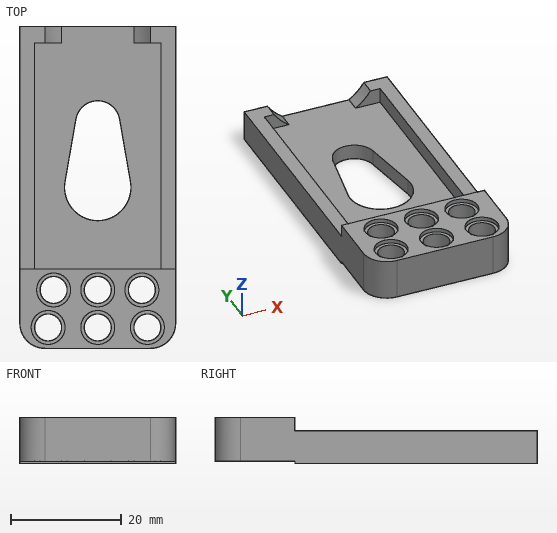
import cadquery as cq

width = 28.3
length = 58.4
height = 8.39

block_length = 14.45
block_height = 8.0
block_bottom = height - block_height
corner_radius = 4.6

tray_height = 6.0
floor_thickness = 3.0
pocket_depth = tray_height - floor_thickness
pocket_width = 22.9

lip_length = 3.0
lip_top_gap = 19.1
lip_floor_gap = 13.2
lip_face_sagitta = 0.2

keyhole_large_radius = 6.0
keyhole_small_radius = 4.0
keyhole_large_y = 29.2
keyhole_small_y = 40.9

hole_diameter = 4.85
counterbore_diameter = 6.15
counterbore_depth = 0.77
holes_per_row = 3
hole_rows = [(3.82, 9.0), (10.62, 8.0)]


def box(size_x, y_start, y_end, z_start, z_end):
    """Box centred on X = 0 between the given Y and Z limits."""
    size_y = y_end - y_start
    return (
        cq.Workplane("XY")
        .box(size_x, size_y, z_end - z_start, centered=(True, False, False))
        .translate((0, y_start, z_start))
    )


def make_block():
    block = box(width, 0, block_length, block_bottom, height)
    return block.edges("|Z and <Y").fillet(corner_radius)


def make_tray():
    tray = box(width, block_length, length, 0, tray_height)
    pocket = box(pocket_width, block_length, length, floor_thickness, tray_height)
    return tray.cut(pocket)


def make_lip():
    """Lip on the +X side, its profile swept forward from the rear face."""
    wall_x = pocket_width / 2
    top_x = lip_top_gap / 2
    toe_x = lip_floor_gap / 2
    run = top_x - toe_x
    slope_length = (run**2 + pocket_depth**2) ** 0.5
    face_mid_x = (top_x + toe_x) / 2 + lip_face_sagitta * pocket_depth / slope_length
    face_mid_z = floor_thickness + pocket_depth / 2 - lip_face_sagitta * run / slope_length
    return (
        cq.Workplane("XZ", origin=(0, length, 0))
        .moveTo(wall_x, floor_thickness)
        .lineTo(wall_x, tray_height)
        .lineTo(top_x, tray_height)
        .threePointArc((face_mid_x, face_mid_z), (toe_x, floor_thickness))
        .close()
        .extrude(lip_length)
    )


def make_keyhole():
    """Two circles of different size joined by their common outer tangents."""
    tangent_sin = (keyhole_large_radius - keyhole_small_radius) / (keyhole_small_y - keyhole_large_y)
    tangent_cos = (1 - tangent_sin**2) ** 0.5
    large_x = keyhole_large_radius * tangent_cos
    large_y = keyhole_large_y + keyhole_large_radius * tangent_sin
    small_x = keyhole_small_radius * tangent_cos
    small_y = keyhole_small_y + keyhole_small_radius * tangent_sin
    return (
        cq.Workplane("XY")
        .moveTo(large_x, large_y)
        .lineTo(small_x, small_y)
        .threePointArc((0, keyhole_small_y + keyhole_small_radius), (-small_x, small_y))
        .lineTo(-large_x, large_y)
        .threePointArc((0, keyhole_large_y - keyhole_large_radius), (large_x, large_y))
        .close()
        .extrude(floor_thickness)
    )


def hole_centres():
    middle = (holes_per_row - 1) / 2
    return [((i - middle) * spacing, y) for y, spacing in hole_rows for i in range(holes_per_row)]


def drill_block(body):
    return (
        body.faces(">Z")
        .workplane(origin=(0, 0, height))
        .pushPoints(hole_centres())
        .cboreHole(hole_diameter, counterbore_diameter, counterbore_depth)
    )


lip = make_lip()
body = make_block().union(make_tray()).union(lip).union(lip.mirror("YZ"))
result = drill_block(body.cut(make_keyhole()))